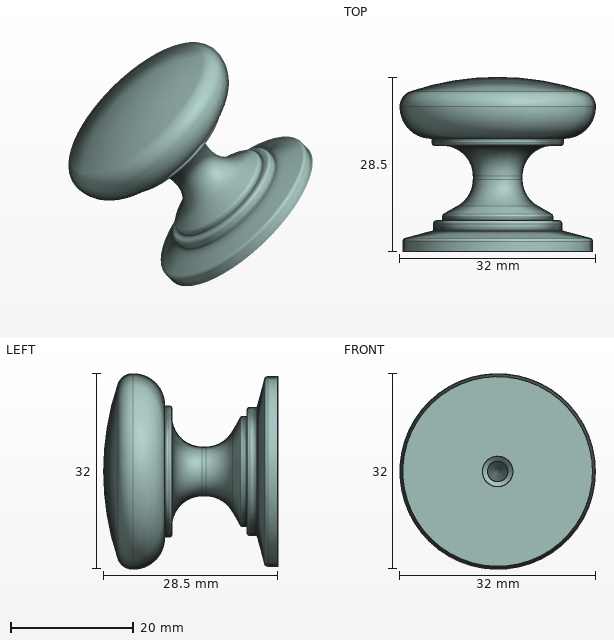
import cadquery as cq
import math


PLATE_RADIUS = 15.5
PLATE_SLOPE = math.radians(15)
STEP_RADIUS = 10.5
STEP_BOTTOM = 3.4
STEP_TOP = 5.05

FOOT_RADIUS = 9.02
NECK_RADIUS = 4.0
NECK_FLARE = 5.0
FOOT_SLOPE = math.radians(30)
NECK_BOTTOM = 11.77
NECK_TOP = 12.38

COLLAR_RADIUS = 10.75
COLLAR_BOTTOM = 17.35
COLLAR_TOP = 18.52
HEAD_RADIUS = 16.0
HEAD_WIDEST = 23.7
SHOULDER_RADIUS = 2.6
KNOB_HEIGHT = 28.5

EDGE_ROUND = 0.5

SAME_POINT = 3.2e-07

HOLE_RADIUS = 1.65
MOUTH_RADIUS = 2.5
MOUTH_DEPTH = 0.83
HOLE_DEPTH = 10.0
DRILL_HALF_ANGLE = math.radians(59)


def on_arc(center, radius, angle):
    """Point at an angle, measured from the outward radial direction."""
    return (center[0] + radius * math.cos(angle), center[1] + radius * math.sin(angle))


def add_arc(outline, center, radius, start, end):
    """Draw an arc, led in by a straight line unless the outline already ends at its start."""
    first = on_arc(center, radius, start)
    current = outline.val().endPoint()
    if math.dist(first, (current.x, current.y)) > SAME_POINT:
        outline = outline.lineTo(*first)
    middle = on_arc(center, radius, (start + end) / 2)
    return outline.threePointArc(middle, on_arc(center, radius, end))


def add_rounded_corner(outline, radius, corner_height, slope):
    """Round the corner between a vertical wall and a face that rises inward at the slope."""
    tangent_length = EDGE_ROUND * math.tan((math.pi / 2 - slope) / 2)
    center = (radius - EDGE_ROUND, corner_height - tangent_length)
    return add_arc(outline, center, EDGE_ROUND, 0, math.pi / 2 - slope)


def add_backplate(outline):
    plate_corner = STEP_BOTTOM - (PLATE_RADIUS - STEP_RADIUS) * math.tan(PLATE_SLOPE)
    outline = outline.lineTo(PLATE_RADIUS, 0)
    outline = add_rounded_corner(outline, PLATE_RADIUS, plate_corner, PLATE_SLOPE)
    outline = outline.lineTo(STEP_RADIUS, STEP_BOTTOM)
    outline = add_rounded_corner(outline, STEP_RADIUS, STEP_TOP, 0)
    return outline.lineTo(FOOT_RADIUS, STEP_TOP)


def add_neck(outline):
    flare_axis = NECK_RADIUS + NECK_FLARE
    lower_center = (flare_axis, NECK_BOTTOM)
    upper_center = (flare_axis, NECK_TOP)
    flare_start = 1.5 * math.pi - FOOT_SLOPE
    flare_radius, flare_height = on_arc(lower_center, NECK_FLARE, flare_start)
    foot_corner = flare_height - (FOOT_RADIUS - flare_radius) * math.tan(FOOT_SLOPE)
    outline = add_rounded_corner(outline, FOOT_RADIUS, foot_corner, FOOT_SLOPE)
    outline = add_arc(outline, lower_center, NECK_FLARE, flare_start, math.pi)

    flare_end = math.pi - math.asin((COLLAR_BOTTOM - NECK_TOP) / NECK_FLARE)
    return add_arc(outline, upper_center, NECK_FLARE, math.pi, flare_end)


def add_head(outline):
    collar_center = (COLLAR_RADIUS - EDGE_ROUND, COLLAR_BOTTOM + EDGE_ROUND)
    outline = add_arc(outline, collar_center, EDGE_ROUND, -math.pi / 2, 0)
    outline = outline.lineTo(COLLAR_RADIUS, COLLAR_TOP)

    underside = HEAD_WIDEST - COLLAR_TOP
    outline = add_arc(outline, (HEAD_RADIUS - underside, HEAD_WIDEST), underside, -math.pi / 2, 0)

    shoulder_axis = HEAD_RADIUS - SHOULDER_RADIUS
    crown = KNOB_HEIGHT - HEAD_WIDEST
    dome_radius = (shoulder_axis**2 + crown**2 - SHOULDER_RADIUS**2) / (2 * (crown - SHOULDER_RADIUS))
    dome_center = (0, KNOB_HEIGHT - dome_radius)
    dome_edge = math.acos(shoulder_axis / (dome_radius - SHOULDER_RADIUS))
    outline = add_arc(outline, (shoulder_axis, HEAD_WIDEST), SHOULDER_RADIUS, 0, dome_edge)
    return add_arc(outline, dome_center, dome_radius, dome_edge, math.pi / 2)


def revolve(outline):
    return outline.close().revolve(360, (0, 0, 0), (0, 1, 0))


def make_knob():
    outline = cq.Workplane("XY").moveTo(0, 0)
    return revolve(add_head(add_neck(add_backplate(outline))))


def make_screw_hole():
    """Blind drilled hole with a countersunk mouth and a conical bottom."""
    tip_height = HOLE_DEPTH + HOLE_RADIUS / math.tan(DRILL_HALF_ANGLE)
    outline = (
        cq.Workplane("XY")
        .moveTo(0, 0)
        .lineTo(MOUTH_RADIUS, 0)
        .lineTo(HOLE_RADIUS, MOUTH_DEPTH)
        .lineTo(HOLE_RADIUS, HOLE_DEPTH)
        .lineTo(0, tip_height)
    )
    return revolve(outline)


result = make_knob().cut(make_screw_hole())